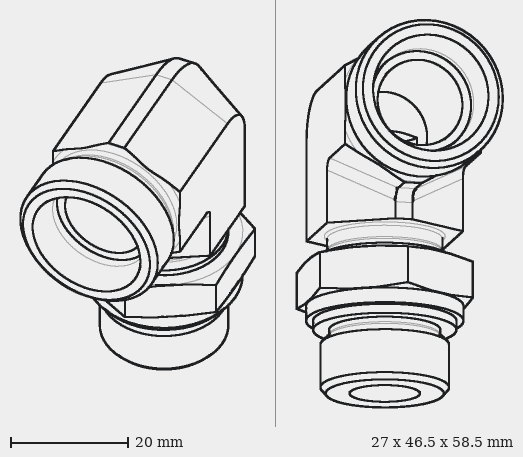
import cadquery as cq
import math


overall_length = 46.55
overall_height = 58.5
hex_half_sector = 30.0

body_width = 24.0
body_height = 26.0
slope_angle = 30.0
crotch_radius = 2.0

port_body_end = 17.9
port_flare = 0.45
port_thread_d = 22.0
neck_d = 19.7
neck_taper_end = 21.7
port_groove_d = 19.0
port_taper_end = 36.9
port_end = overall_height - body_height / 2
port_tip_d = 20.2
port_tip_chamfer = 1.05
port_taper_angle = 45.0
port_blend = 0.45
port_bore_d = 12.0

tube_body_end = 19.0
tube_flare = 0.95
tube_thread_d = 26.0
tube_groove_d = 23.7
tube_taper_end = 23.6
tube_taper_angle = 30.0
tube_blend = 1.0
tube_tip_d = 24.0
tube_tip_chamfer = 1.0
tube_bore_d = 15.0
socket_d = 18.0
socket_mouth_d = 20.35
socket_depth = 7.25
socket_cone_half_angle = 12.0
drill_tip_half_angle = 59.0

nut_width = 27.0
nut_top = 22.8
nut_bottom = 30.2
nut_face_d = 26.9
nut_chamfer_angle = 14.0
nut_corner_d = nut_width / math.cos(math.radians(hex_half_sector))

ring_d = 26.9
ring_step = 32.75
ring_lip_d = 24.5
ring_bottom = 34.35

tube_end = overall_length - nut_corner_d / 2

PORT_PROFILE = cq.Plane((0, 0, 0), (1, 0, 0), (0, 1, 0))
TUBE_PROFILE = cq.Plane((0, 0, 0), (1, 0, 0), (0, 0, -1))

PORT_SECTION = "XY"
TUBE_SECTION = "XZ"


def turn(profile):
    """Close a half profile and revolve it about the arm axis."""
    return profile.close().revolve(360, (0, 0, 0), (0, 1, 0))


def section_points():
    """Corners of the upper half of the body section, from right to left."""
    half_width = body_width / 2
    half_height = body_height / 2
    slope = math.tan(math.radians(slope_angle))
    side_height = half_width / math.cos(math.radians(slope_angle)) - half_width * slope
    flat_half_width = half_width - (half_height - side_height) / slope
    return [
        (half_width, side_height),
        (flat_half_width, half_height),
        (-flat_half_width, half_height),
        (-half_width, side_height),
    ]


def section_bar(plane, length):
    """Straight bar of the full body section."""
    upper = section_points()
    lower = [(-x, -y) for x, y in upper]
    return cq.Workplane(plane).polyline(upper + lower).close().extrude(length)


def flare(plane, body_end, radius, neck_diameter):
    """Concave collar that blends the end face of the body into a neck."""
    neck_r = neck_diameter / 2
    return turn(
        cq.Workplane(plane)
        .moveTo(0, body_end)
        .lineTo(neck_r + radius, body_end)
        .radiusArc((neck_r, body_end + radius), radius)
        .lineTo(0, body_end + radius)
    )


def taper_up(profile, neck_diameter, thread_diameter, taper_end, angle, blend):
    """Continue a profile along a neck, round the corner and rise to a thread."""
    neck_r = neck_diameter / 2
    rise = (thread_diameter - neck_diameter) / 2
    slope = math.radians(angle)
    corner = taper_end - rise / math.tan(slope)
    blend_start = corner - blend * math.tan(slope / 2)
    blend_end = (neck_r + blend * (1 - math.cos(slope)), blend_start + blend * math.sin(slope))
    return (
        profile.lineTo(neck_r, blend_start)
        .tangentArcPoint(blend_end, relative=False)
        .lineTo(thread_diameter / 2, taper_end)
    )


def thread_tip(profile, thread_diameter, tip_diameter, chamfer, end):
    """Finish a profile with a plain thread cylinder and its end chamfer."""
    return (
        profile.lineTo(thread_diameter / 2, end - chamfer)
        .lineTo(tip_diameter / 2, end)
        .lineTo(0, end)
    )


def port_stub():
    """Necks and threads of the port arm; the groove carries the sealing ring."""
    profile = cq.Workplane(PORT_PROFILE).moveTo(0, port_body_end).lineTo(neck_d / 2, port_body_end)
    profile = taper_up(profile, neck_d, port_thread_d, neck_taper_end, port_taper_angle, port_blend)
    profile = profile.lineTo(port_thread_d / 2, nut_bottom).lineTo(port_groove_d / 2, nut_bottom)
    profile = taper_up(
        profile, port_groove_d, port_thread_d, port_taper_end, port_taper_angle, port_blend
    )
    return turn(thread_tip(profile, port_thread_d, port_tip_d, port_tip_chamfer, port_end))


def tube_stub():
    """Neck and thread of the tube arm."""
    groove_r = tube_groove_d / 2
    profile = cq.Workplane(TUBE_PROFILE).moveTo(0, tube_body_end).lineTo(groove_r, tube_body_end)
    profile = taper_up(
        profile, tube_groove_d, tube_thread_d, tube_taper_end, tube_taper_angle, tube_blend
    )
    return turn(thread_tip(profile, tube_thread_d, tube_tip_d, tube_tip_chamfer, tube_end))


def drilled_bore(plane, diameter, end):
    """Bore from the arm end to the other axis, with a conical drill tip beyond it."""
    radius = diameter / 2
    tip = radius / math.tan(math.radians(drill_tip_half_angle))
    return turn(cq.Workplane(plane).moveTo(0, -tip).lineTo(radius, 0).lineTo(radius, end).lineTo(0, end))


def tube_socket():
    """Cylindrical tube seat with a tapered mouth."""
    mouth_length = (socket_mouth_d - socket_d) / 2 / math.tan(math.radians(socket_cone_half_angle))
    return turn(
        cq.Workplane(TUBE_PROFILE)
        .moveTo(0, tube_end)
        .lineTo(socket_mouth_d / 2, tube_end)
        .lineTo(socket_d / 2, tube_end - mouth_length)
        .lineTo(socket_d / 2, tube_end - socket_depth)
        .lineTo(0, tube_end - socket_depth)
    )


def make_elbow_body():
    """Two bars joined by a revolved bend outside and a rounded crotch inside."""
    arms = section_bar(PORT_SECTION, -port_body_end).union(section_bar(TUBE_SECTION, tube_body_end))

    tolerance = 0.005

    def is_mitre(edge):
        """True for the concave edges along the plane y = z between the arms."""
        start = edge.startPoint()
        end = edge.endPoint()
        return all(abs(p.y - p.z) < tolerance and p.y < -tolerance for p in (start, end))

    mitre_edges = [edge for edge in arms.edges().vals() if is_mitre(edge)]
    arms = arms.newObject(mitre_edges).fillet(crotch_radius)

    right, top_right, top_left, left = section_points()
    bend = (
        cq.Workplane("XZ")
        .polyline([(right[0], 0), right, top_right, top_left, left, (left[0], 0)])
        .close()
        .revolve(90, (0, 0, 0), (-1, 0, 0))
    )
    return arms.union(bend)


def make_elbow():
    """Elbow with both threaded arms, crossing bores and the tube socket."""
    body = make_elbow_body()
    port_flare_collar = flare(PORT_PROFILE, port_body_end, port_flare, neck_d)
    tube_flare_collar = flare(TUBE_PROFILE, tube_body_end, tube_flare, tube_groove_d).intersect(
        section_bar(TUBE_SECTION, tube_body_end + tube_flare)
    )
    solid = body.union(port_flare_collar).union(tube_flare_collar)
    solid = solid.union(port_stub()).union(tube_stub())
    solid = solid.cut(drilled_bore(PORT_PROFILE, port_bore_d, port_end))
    solid = solid.cut(drilled_bore(TUBE_PROFILE, tube_bore_d, tube_end))
    return solid.cut(tube_socket()).clean()


def make_nut():
    """Hexagon with flats facing X, both faces chamfered at the corners."""
    hexagon = (
        cq.Workplane("XY")
        .workplane(offset=-nut_bottom)
        .polygon(6, nut_corner_d)
        .extrude(nut_bottom - nut_top)
        .rotate((0, 0, 0), (0, 0, 1), hex_half_sector)
    )
    face_r = nut_face_d / 2
    corner_r = nut_corner_d / 2
    drop = (corner_r - face_r) * math.tan(math.radians(nut_chamfer_angle))
    chamfered_blank = turn(
        cq.Workplane(PORT_PROFILE)
        .moveTo(0, nut_top)
        .lineTo(face_r, nut_top)
        .lineTo(corner_r, nut_top + drop)
        .lineTo(corner_r, nut_bottom - drop)
        .lineTo(face_r, nut_bottom)
        .lineTo(0, nut_bottom)
    )
    thread_hole = cq.Workplane("XY").circle(port_thread_d / 2).extrude(-nut_bottom)
    return hexagon.intersect(chamfered_blank).cut(thread_hole)


def make_sealing_ring():
    """Stepped ring seated in the groove of the port arm."""
    inner_r = port_groove_d / 2
    return turn(
        cq.Workplane(PORT_PROFILE)
        .moveTo(inner_r, nut_bottom)
        .lineTo(ring_d / 2, nut_bottom)
        .lineTo(ring_d / 2, ring_step)
        .lineTo(ring_lip_d / 2, ring_step)
        .lineTo(ring_lip_d / 2, ring_bottom)
        .lineTo(inner_r, ring_bottom)
    )


elbow = make_elbow()
nut = make_nut()
sealing_ring = make_sealing_ring()

result = cq.Compound.makeCompound([elbow.solids().val(), nut.solids().val(), sealing_ring.val()])